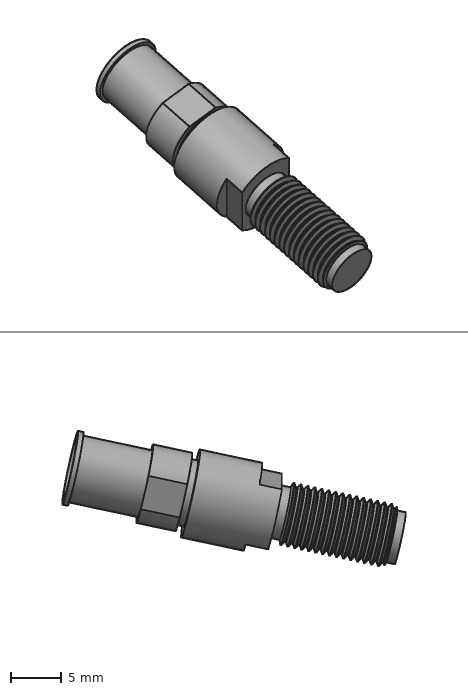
import cadquery as cq


flange_end = 0.55
collar_start = 7.58
collar_end = 11.55
body_start = 12.25
wrench_flat_start = 18.55
body_end = 20.85
thread_start = 21.85
thread_end = 32.68
part_length = 33.55

flange_diameter = 7.5
tube_diameter = 6.8
neck_diameter = 6.75
collar_diameter = 8.0
body_diameter = 8.95
stem_diameter = 5.37
tip_diameter = 5.3
root_diameter = 5.55
crest_diameter = 6.35
last_ridge_diameter = 5.95

collar_across_flats = 7.18
wrench_across_flats = 6.3

ridge_count = 15
first_crest = 22.08
last_crest = 32.0
last_ridge_crest = 32.58
thread_pitch = (last_crest - first_crest) / (ridge_count - 1)
crest_width = 0.07
ridge_base_width = 0.57

mouth_diameter = 6.17
bore_diameter = 5.45
seat_diameter = 4.4
floor_diameter = 3.93
bore_depth = collar_start
seat_length = 0.67


def cylinder(start, end, diameter):
    """Solid cylinder on the X axis between two stations."""
    return cq.Workplane("YZ").workplane(offset=start).circle(diameter / 2).extrude(end - start)


def revolve_about_x(points):
    """Turn a closed (x, radius) outline about the X axis."""
    return cq.Workplane("XY").polyline(points).close().revolve(360, (0, 0, 0), (1, 0, 0))


def flatted_cylinder(start, end, diameter, width_y, width_z):
    """Cylinder trimmed to the given widths across Y and Z."""
    envelope = cq.Workplane("YZ").workplane(offset=start).rect(width_y, width_z).extrude(end - start)
    return cylinder(start, end, diameter).intersect(envelope)


def threaded_stem():
    """Stem with closed thread ridges, a low ridge where the thread runs out, and a plain tip."""
    stem_radius = stem_diameter / 2
    root_radius = root_diameter / 2
    crest_radius = crest_diameter / 2
    tip_radius = tip_diameter / 2
    half_base = ridge_base_width / 2
    half_crest = crest_width / 2

    outline = [(body_end, 0), (body_end, stem_radius), (thread_start, stem_radius)]
    for ridge in range(ridge_count):
        crest = first_crest + ridge * thread_pitch
        if ridge > 0:
            outline.append((crest - half_base, root_radius))
        outline.append((crest - half_crest, crest_radius))
        outline.append((crest + half_crest, crest_radius))
        outline.append((crest + half_base, root_radius))
    outline += [
        (last_crest + thread_pitch - half_base, root_radius),
        (last_ridge_crest, last_ridge_diameter / 2),
        (thread_end, tip_radius),
        (part_length, tip_radius),
        (part_length, 0),
    ]
    return revolve_about_x(outline)


def socket_bore():
    """Blind bore with a 45 degree mouth and two 45 degree steps down to its floor."""
    mouth_depth = (mouth_diameter - bore_diameter) / 2
    seat_start = bore_depth + (bore_diameter - seat_diameter) / 2
    seat_end = seat_start + seat_length
    floor = seat_end + (seat_diameter - floor_diameter) / 2
    return revolve_about_x([
        (0, 0),
        (0, mouth_diameter / 2),
        (mouth_depth, bore_diameter / 2),
        (bore_depth, bore_diameter / 2),
        (seat_start, seat_diameter / 2),
        (seat_end, seat_diameter / 2),
        (floor, floor_diameter / 2),
        (floor, 0),
    ])


flange = cylinder(0, flange_end, flange_diameter)
tube = cylinder(0, collar_start, tube_diameter)
collar = flatted_cylinder(collar_start, collar_end, collar_diameter, collar_diameter, collar_across_flats)
neck = cylinder(collar_end, body_start, neck_diameter)
body = cylinder(body_start, wrench_flat_start, body_diameter)
wrench_end = flatted_cylinder(
    wrench_flat_start, body_end, body_diameter, wrench_across_flats, body_diameter
)

result = (
    tube.union(flange)
    .union(collar)
    .union(neck)
    .union(body)
    .union(wrench_end)
    .union(threaded_stem())
    .cut(socket_bore())
)